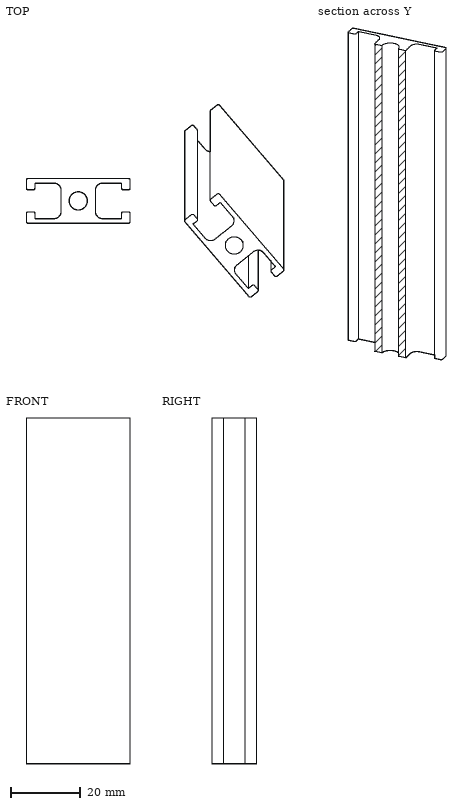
import cadquery as cq

width = 30.0
thickness = 13.0
length = 100.0

wall = 1.4
lip_depth = 2.5
slot_opening = 6.3
web_width = 10.0
pocket_radius = 2.0
edge_radius = 0.5

bore_diameter = 5.2

pocket_height = thickness - 2 * wall
pocket_depth = (width - web_width) / 2 - lip_depth


def t_slot(side):
    """Full-length T-slot cutter; side is -1 for the -X face and +1 for the +X face."""
    pocket_x = side * (web_width + pocket_depth) / 2
    web_side = "<X" if side > 0 else ">X"
    pocket = (
        cq.Workplane("XY")
        .center(pocket_x, 0)
        .rect(pocket_depth, pocket_height)
        .extrude(length)
        .faces(web_side)
        .edges("|Z")
        .fillet(pocket_radius)
    )
    mouth_depth = width / 2 - abs(pocket_x)
    mouth_x = side * (width - mouth_depth) / 2
    mouth = cq.Workplane("XY").center(mouth_x, 0).rect(mouth_depth, slot_opening).extrude(length)
    return pocket.union(mouth)


profile = cq.Workplane("XY").rect(width, thickness).extrude(length)
for side in (-1, 1):
    profile = profile.cut(t_slot(side))

profile = profile.faces("<Y or >Y").edges("|Z").fillet(edge_radius)
for side in (-1, 1):
    lip_zone = cq.selectors.BoxSelector(
        (side * (width / 2 - lip_depth - edge_radius), -wall - slot_opening / 2, 0),
        (side * width, wall + slot_opening / 2, length),
    )
    profile = profile.edges("|Z").edges(lip_zone).fillet(edge_radius)

result = profile.faces(">Z").workplane(origin=(0, 0, length)).hole(bore_diameter)